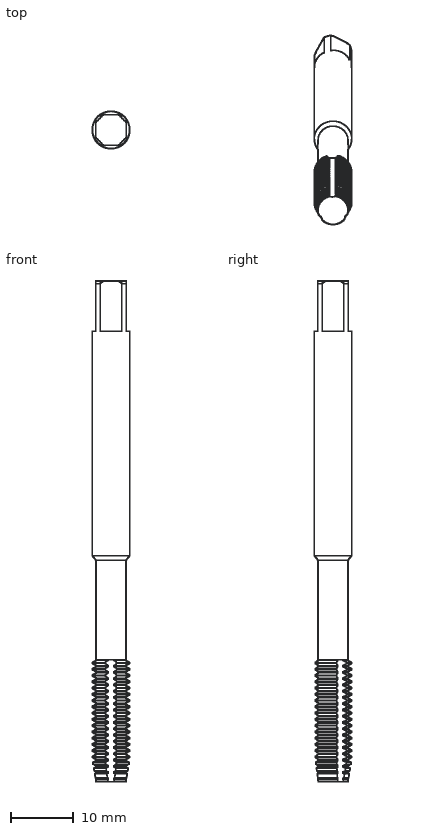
import cadquery as cq
import math

total_length = 80.0
nominal_diameter = 6.0
nominal_radius = nominal_diameter / 2

thread_length = 19.5
pitch = 1.0
thread_angle = 60.0
crest_flat = pitch / 8
root_radius = 2.4
lead_length = 3.6
tip_radius = 2.4

flute_count = 3
first_flute_angle = -90.0
flute_radius = 1.0
flute_center_radius = 3.25

neck_radius = 2.4
shank_start = 36.1
shoulder_height = 0.7
square_length = 8.0
square_width = 4.9
corner_chamfer = 0.43


def thread_blank():
    """Plain cylinder with a tapered lead at the tip."""
    return (
        cq.Workplane("XZ")
        .moveTo(0, 0)
        .lineTo(tip_radius, 0)
        .lineTo(nominal_radius, lead_length)
        .lineTo(nominal_radius, thread_length)
        .lineTo(0, thread_length)
        .close()
        .revolve(360, (0, 0, 0), (0, 1, 0))
    )


def thread_groove(height):
    """Ring between two thread crests, centred on the given height."""
    flank_slope = math.tan(math.radians(thread_angle / 2))
    mouth_half = (pitch - crest_flat) / 2
    root_half = mouth_half - (nominal_radius - root_radius) * flank_slope
    clearance_radius = nominal_radius + pitch
    return (
        cq.Workplane("XZ")
        .moveTo(root_radius, height - root_half)
        .lineTo(nominal_radius, height - mouth_half)
        .lineTo(clearance_radius, height - mouth_half)
        .lineTo(clearance_radius, height + mouth_half)
        .lineTo(nominal_radius, height + mouth_half)
        .lineTo(root_radius, height + root_half)
        .close()
        .revolve(360, (0, 0, 0), (0, 1, 0))
    )


def flute_cutters():
    """Round-bottomed channels running the whole length of the thread."""
    return (
        cq.Workplane("XY")
        .polarArray(flute_center_radius, first_flute_angle, 360, flute_count)
        .circle(flute_radius)
        .extrude(thread_length)
    )


def make_threaded_section():
    body = thread_blank()
    groove_count = math.ceil(thread_length / pitch)
    for index in range(groove_count):
        body = body.cut(thread_groove((index + 0.5) * pitch))
    return body.cut(flute_cutters())


def corner_chamfer_envelope():
    """Square block turned 45 degrees whose bevelled top edges chamfer the drive corners."""
    return (
        cq.Workplane("XY")
        .rect(nominal_diameter, nominal_diameter)
        .extrude(total_length)
        .faces(">Z")
        .chamfer(corner_chamfer)
        .rotate((0, 0, 0), (0, 0, 1), 45)
    )


def make_shank():
    """Neck, conical shoulder, cylindrical shank and chamfered drive square."""
    body = (
        cq.Workplane("XZ")
        .moveTo(0, thread_length)
        .lineTo(neck_radius, thread_length)
        .lineTo(neck_radius, shank_start - shoulder_height)
        .lineTo(nominal_radius, shank_start)
        .lineTo(nominal_radius, total_length)
        .lineTo(0, total_length)
        .close()
        .revolve(360, (0, 0, 0), (0, 1, 0))
    )
    around_square = (
        cq.Workplane("XY")
        .workplane(offset=total_length - square_length)
        .rect(2 * nominal_diameter, 2 * nominal_diameter)
        .rect(square_width, square_width)
        .extrude(square_length)
    )
    return body.cut(around_square).intersect(corner_chamfer_envelope())


threaded_section = make_threaded_section()
shank = make_shank()

result = cq.Compound.makeCompound([threaded_section.val(), shank.val()])